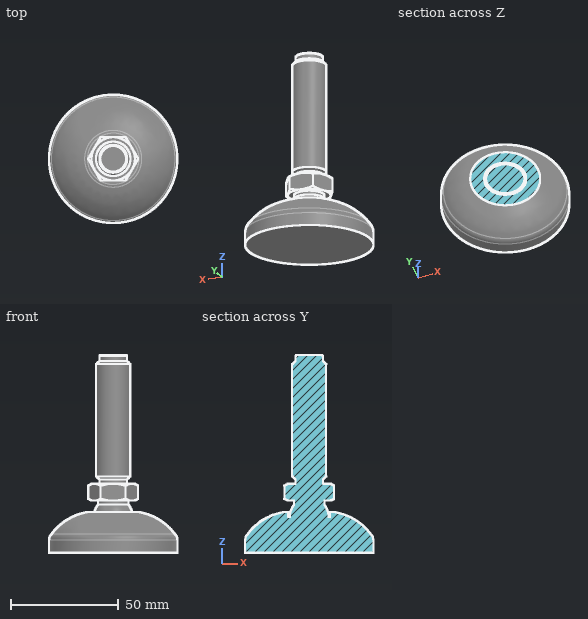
import cadquery as cq
import math

TOTAL_HEIGHT = 92.2

FOOT_RADIUS = 59.9 / 2
WALL_TOP = 6.1
DOME_BASE = 8.8
SHOULDER_RADIUS = 3.6
DOME_TOP = 18.8
DOME_TOP_RADIUS = 13.3
DOME_MIDDLE = (22.3, 14.9)
FOOT_TOP = 19.1
RIM_RADIUS = 12.0
SOCKET_RADIUS = 19.4 / 2

BALL_RADIUS = 18.35 / 2
BALL_CENTRE = 16.7
COLLAR_RADIUS = 14.3 / 2

HEX_BOTTOM = 24.25
HEX_TOP = 32.2
HEX_FLATS = 20.2
HEX_CORNERS = HEX_FLATS / math.cos(math.radians(30))
HEX_BEVEL_ANGLE = 30.0

ROD_RADIUS = 16.0 / 2
NECK_RADIUS = 13.0 / 2
ROD_BOTTOM = 34.1
ROD_CHAMFER = ROD_RADIUS - NECK_RADIUS
ROD_TOP = 89.3
TIP_CHAMFER = 0.5


def cylinder(radius, bottom, top):
    return cq.Workplane("XY").workplane(offset=bottom).circle(radius).extrude(top - bottom)


def make_foot():
    shoulder_centre = FOOT_RADIUS - SHOULDER_RADIUS
    sweep = math.asin((DOME_BASE - WALL_TOP) / SHOULDER_RADIUS)

    def shoulder_point(angle):
        return (
            shoulder_centre + SHOULDER_RADIUS * math.cos(angle),
            WALL_TOP + SHOULDER_RADIUS * math.sin(angle),
        )

    profile = (
        cq.Workplane("XZ")
        .lineTo(FOOT_RADIUS, 0)
        .lineTo(FOOT_RADIUS, WALL_TOP)
        .threePointArc(shoulder_point(sweep / 2), shoulder_point(sweep))
        .threePointArc(DOME_MIDDLE, (DOME_TOP_RADIUS, DOME_TOP))
        .lineTo(RIM_RADIUS, FOOT_TOP)
        .lineTo(0, FOOT_TOP)
        .close()
    )
    foot = profile.revolve(360, (0, 0, 0), (0, 1, 0))
    return foot.cut(cylinder(SOCKET_RADIUS, BALL_CENTRE, FOOT_TOP))


def make_ball():
    return cq.Workplane("XY").sphere(BALL_RADIUS).translate((0, 0, BALL_CENTRE))


def make_hexagon():
    height = HEX_TOP - HEX_BOTTOM
    hexagon = (
        cq.Workplane("XY").workplane(offset=HEX_BOTTOM).polygon(6, HEX_CORNERS).extrude(height)
    )
    bevel_width = (HEX_CORNERS - HEX_FLATS) / 2
    bevel_height = bevel_width * math.tan(math.radians(HEX_BEVEL_ANGLE))
    envelope = (
        cylinder(HEX_CORNERS / 2, HEX_BOTTOM, HEX_TOP)
        .edges("%CIRCLE")
        .chamfer(bevel_height, bevel_width)
    )
    return hexagon.intersect(envelope)


def make_spindle():
    collar = cylinder(COLLAR_RADIUS, BALL_CENTRE, HEX_BOTTOM)
    neck = cylinder(NECK_RADIUS, HEX_TOP, TOTAL_HEIGHT).faces(">Z").edges().chamfer(TIP_CHAMFER)
    rod = cylinder(ROD_RADIUS, ROD_BOTTOM, ROD_TOP).edges("%CIRCLE").chamfer(ROD_CHAMFER)
    return collar.union(neck).union(rod)


result = make_foot().union(make_ball()).union(make_hexagon()).union(make_spindle())